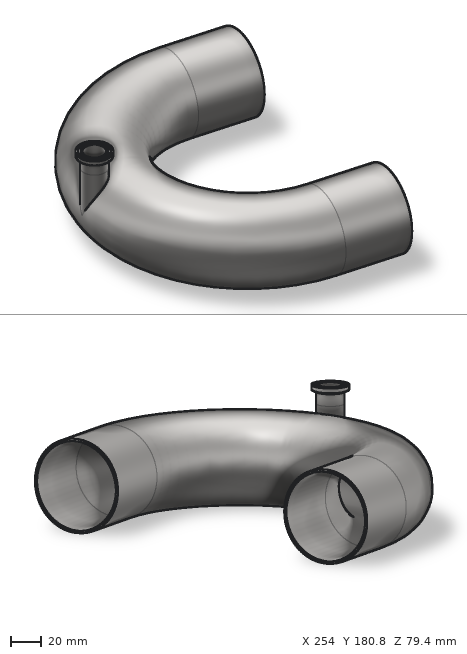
import cadquery as cq
import math

TUBE_OUTER_DIAMETER = 63.5
TUBE_INNER_DIAMETER = 60.2
OVERALL_WIDTH = 254.0
LEG_LENGTH = 50.8
BEND_ANGLE = 180.0
BEND_RADIUS = (OVERALL_WIDTH - TUBE_OUTER_DIAMETER) / 2

BRANCH_OUTER_DIAMETER = 19.05
BRANCH_INNER_DIAMETER = 15.75
BRANCH_TOP = 47.625
BRANCH_OFFSET = (OVERALL_WIDTH - BRANCH_OUTER_DIAMETER) / 2

FERRULE_LENGTH = 12.7
RIM_DIAMETER = 24.99
RIM_THICKNESS = 3.175
RIM_TAPER_ANGLE = 25.0
GROOVE_OUTER_DIAMETER = 21.89
GROOVE_INNER_DIAMETER = 18.55
GROOVE_DEPTH = 0.8
FERRULE_BOTTOM = BRANCH_TOP - FERRULE_LENGTH


def u_bend(diameter):
    """Solid round bar along the U: leg, half-circle bend, leg; the bend is centred on the origin."""
    radius = diameter / 2
    bend = (
        cq.Workplane("XZ", origin=(-BEND_RADIUS, 0, 0))
        .circle(radius)
        .revolve(BEND_ANGLE, (BEND_RADIUS, -1, 0), (BEND_RADIUS, 1, 0))
    )
    legs = (
        cq.Workplane("XZ")
        .pushPoints([(-BEND_RADIUS, 0), (BEND_RADIUS, 0)])
        .circle(radius)
        .extrude(-LEG_LENGTH)
    )
    return bend.union(legs)


def upright_cylinder(diameter, top):
    """Cylinder on the branch axis, from the mid-plane of the bend up to the given height."""
    return cq.Workplane("XY", origin=(0, -BRANCH_OFFSET, 0)).circle(diameter / 2).extrude(top)


def ferrule():
    """Revolved ferrule: neck, tapered rim and a rounded gasket groove in the top face."""
    bore_radius = BRANCH_INNER_DIAMETER / 2
    neck_radius = BRANCH_OUTER_DIAMETER / 2
    rim_radius = RIM_DIAMETER / 2
    groove_outer = GROOVE_OUTER_DIAMETER / 2
    groove_inner = GROOVE_INNER_DIAMETER / 2
    groove_middle = (groove_outer + groove_inner) / 2
    taper_drop = (rim_radius - neck_radius) * math.tan(math.radians(RIM_TAPER_ANGLE))
    rim_bottom = BRANCH_TOP - RIM_THICKNESS
    return (
        cq.Workplane("XZ", origin=(0, -BRANCH_OFFSET, 0))
        .moveTo(bore_radius, FERRULE_BOTTOM)
        .lineTo(neck_radius, FERRULE_BOTTOM)
        .lineTo(neck_radius, rim_bottom - taper_drop)
        .lineTo(rim_radius, rim_bottom)
        .lineTo(rim_radius, BRANCH_TOP)
        .lineTo(groove_outer, BRANCH_TOP)
        .threePointArc((groove_middle, BRANCH_TOP - GROOVE_DEPTH), (groove_inner, BRANCH_TOP))
        .lineTo(bore_radius, BRANCH_TOP)
        .close()
        .revolve()
    )


outside = u_bend(TUBE_OUTER_DIAMETER).union(upright_cylinder(BRANCH_OUTER_DIAMETER, FERRULE_BOTTOM))
inside = u_bend(TUBE_INNER_DIAMETER)
bore = upright_cylinder(BRANCH_INNER_DIAMETER, FERRULE_BOTTOM)
tube = outside.cut(inside).cut(bore)

result = tube.union(ferrule(), clean=False)